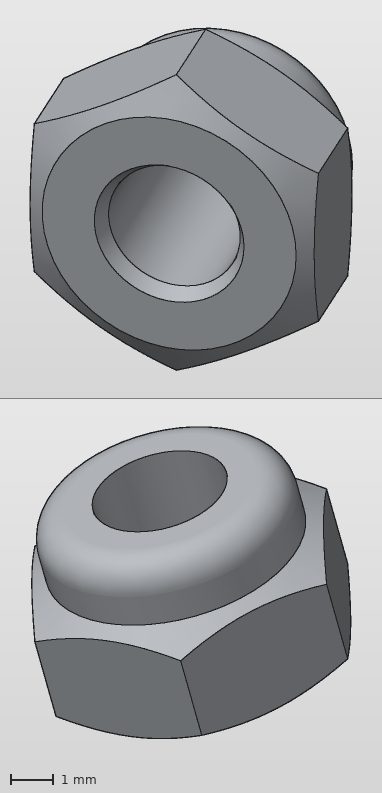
import cadquery as cq
import math

across_corners = 8.08
total_height = 4.8
hex_height = 3.2
face_diameter = 6.25
crown_angle = 30.0
collar_round = 0.8
bore_diameter = 3.24
countersink_diameter = 3.685
countersink_angle = 30.0

corner_radius = across_corners / 2
face_radius = face_diameter / 2
bore_radius = bore_diameter / 2
countersink_radius = countersink_diameter / 2
crown_depth = (corner_radius - face_radius) * math.tan(math.radians(crown_angle))
countersink_depth = (countersink_radius - bore_radius) / math.tan(math.radians(countersink_angle))


def revolve_about_y(profile):
    return profile.close().revolve(360, (0, 0, 0), (0, 1, 0))


def make_hexagon():
    """Hexagonal prism with corners on +Z and -Z, cut conically at both ends."""
    corners = []
    for index in range(6):
        angle = math.radians(90 + 60 * index)
        corners.append((corner_radius * math.cos(angle), corner_radius * math.sin(angle)))
    prism = cq.Workplane("XZ").polyline(corners).close().extrude(-hex_height)
    crown_envelope = revolve_about_y(
        cq.Workplane("XY")
        .lineTo(face_radius, 0)
        .lineTo(corner_radius, crown_depth)
        .lineTo(corner_radius, hex_height - crown_depth)
        .lineTo(face_radius, hex_height)
        .lineTo(0, hex_height)
    )
    return prism.intersect(crown_envelope)


def make_collar():
    """Round collar on the hexagon, with a rounded outer rim."""
    collar = cq.Workplane("XZ", origin=(0, hex_height, 0)).circle(face_radius)
    collar = collar.extrude(hex_height - total_height)
    return collar.faces(">Y").edges().fillet(collar_round)


def make_bore():
    """Through bore with a countersink at the hexagon face."""
    return revolve_about_y(
        cq.Workplane("XY")
        .lineTo(countersink_radius, 0)
        .lineTo(bore_radius, countersink_depth)
        .lineTo(bore_radius, total_height)
        .lineTo(0, total_height)
    )


result = make_hexagon().union(make_collar()).cut(make_bore())